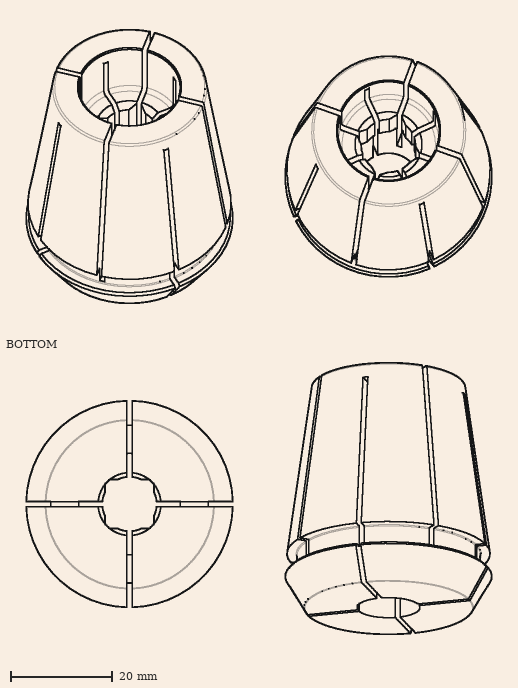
import cadquery as cq
import math

height = 46.0
body_half_angle = 8.0
body_base_radius = 20.05
body_base_z = 11.2

flange_radius = 20.4
flange_top_z = 7.0
flange_half_angle = 30.0
flange_edge_chamfer = 0.5
groove_radius = 18.1

groove_corner_fillet = 0.2
top_edge_fillet = 0.4
bottom_edge_fillet = 0.2

wide_bore_radius = 10.0
wide_bore_floor_z = 34.2
wide_bore_fillet = 0.8
wide_bore_mouth_chamfer = 0.25
wide_bore_mouth_half_angle = 45.0
socket_width = 9.6
socket_relief_radius = 5.35
socket_length = 12.0
socket_mouth_radius = 6.6
socket_mouth_half_angle = 45.0
shank_radius = 6.2

slit_width = 1.0
bottom_slit_top_z = 43.0
top_slit_floor_z = 7.5
slit_length = 3 * flange_radius
slit_angles = (0, 90)
diagonal_angle = 45


def tangent(angle):
    return math.tan(math.radians(angle))


def make_body():
    """Revolve the outer shape and round its groove corners and end edges."""
    flange_widest_z = flange_top_z - flange_edge_chamfer
    flange_bottom_radius = flange_radius - flange_widest_z * tangent(flange_half_angle)
    body_top_radius = body_base_radius - (height - body_base_z) * tangent(body_half_angle)
    profile = [
        (0, 0),
        (flange_bottom_radius, 0),
        (flange_radius, flange_widest_z),
        (flange_radius - flange_edge_chamfer, flange_top_z),
        (groove_radius, flange_top_z),
        (groove_radius, body_base_z),
        (body_base_radius, body_base_z),
        (body_top_radius, height),
        (0, height),
    ]
    body = cq.Workplane("XZ").polyline(profile).close().revolve(360, (0, 0), (0, 1))

    groove_corners = []
    for edge in body.edges("%CIRCLE").vals():
        if math.isclose(edge.radius(), groove_radius):
            groove_corners.append(edge)
    body = body.newObject(groove_corners).fillet(groove_corner_fillet)
    body = body.faces(">Z").edges().fillet(top_edge_fillet)
    body = body.faces("<Z").edges().fillet(bottom_edge_fillet)
    return body


def cylinder(radius, bottom_z, top_z):
    return cq.Workplane("XY").workplane(offset=bottom_z).circle(radius).extrude(top_z - bottom_z)


def make_wide_bore():
    """Clearance bore from the top, with a rounded floor and a chamfered mouth."""
    bore = cylinder(wide_bore_radius, wide_bore_floor_z, height)
    bore = bore.faces("<Z").edges().fillet(wide_bore_fillet)
    mouth = (
        cq.Workplane("XY")
        .workplane(offset=height)
        .circle(wide_bore_radius + wide_bore_mouth_chamfer)
        .extrude(-wide_bore_mouth_chamfer, taper=wide_bore_mouth_half_angle)
    )
    return bore.union(mouth)


def make_socket():
    """Square drive socket with a round relief, and a conical lead-in at its mouth."""
    socket_bottom_z = wide_bore_floor_z - socket_length
    square = (
        cq.Workplane("XY")
        .workplane(offset=socket_bottom_z)
        .rect(socket_width, socket_width)
        .extrude(socket_length)
    )
    relief = cylinder(socket_relief_radius, socket_bottom_z, wide_bore_floor_z)
    lead_in_depth = (socket_mouth_radius - socket_width / 2) / tangent(socket_mouth_half_angle)
    lead_in = (
        cq.Workplane("XY")
        .workplane(offset=wide_bore_floor_z)
        .circle(socket_mouth_radius)
        .extrude(-lead_in_depth, taper=socket_mouth_half_angle)
    )
    corner_limit = cylinder(socket_mouth_radius, socket_bottom_z, wide_bore_floor_z)
    return square.intersect(corner_limit).union(relief).union(lead_in)


def make_shank_bore():
    """Round bore for the tool shank, from the nose up to the socket."""
    return cylinder(shank_radius, 0, wide_bore_floor_z - socket_length)


def make_slits(angle_offset, bottom_z, top_z):
    """Two full-diameter saw cuts at right angles, giving four slits."""
    slit = (
        cq.Workplane("XY")
        .workplane(offset=bottom_z)
        .rect(slit_length, slit_width)
        .extrude(top_z - bottom_z)
    )
    slits = cq.Workplane("XY")
    for angle in slit_angles:
        slits = slits.union(slit.rotate((0, 0, 0), (0, 0, 1), angle + angle_offset))
    return slits


result = make_body()
result = result.cut(make_wide_bore())
result = result.cut(make_socket())
result = result.cut(make_shank_bore())
result = result.cut(make_slits(0, 0, bottom_slit_top_z))
result = result.cut(make_slits(diagonal_angle, top_slit_floor_z, height))